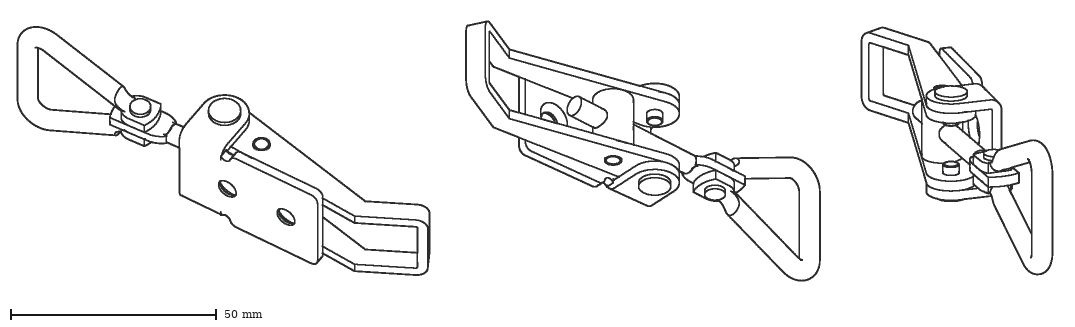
import cadquery as cq
import math


knuckle_radius = 6.0
bend_outer_radius = 3.0
bend_inner_radius = 0.5
hole_overlength = 2.3

bracket_thickness = 2.4
bracket_width = 25.0
bracket_length = 40.0
base_bottom = -11.0
base_corner_radius = 2.0
relief_radius = 1.4
relief_depth = 1.2
relief_offset = 1.3
base_hole_radius = 2.5
base_hole_land = 0.7
base_hole_positions = (7.9, 24.8)

lever_thickness = 2.5
lever_width = bracket_width - 2 * bracket_thickness
kink_bottom = (43.5, -9.2)
grip_angle = 28.0
grip_height = 5.1
grip_bottom_length = 17.9
grip_top_length = 15.7

rivet_shank_radius = 2.0
rivet_head_radius = 3.9
rivet_head_height = 1.0
rivet_inner_end = 5.2
rivet_end_chamfer = 0.2

trunnion_x = 11.8
trunnion_y = -1.7
trunnion_radius = 5.0
trunnion_pin_radius = 2.1
trunnion_pin_chamfer = 0.3

draw_tilt = 3.0
eye_distance = 34.0
rod_radius = 2.5
rod_tail = 12.9
eye_thickness = 2.5
eye_half_width = 4.0
eye_front = -6.2
eye_front_tip = -7.0
eye_shoulder = 4.5
eye_neck_end = 8.7
flat_end = 8.9
flat_fillet_radius = 1.0

wire_radius = 2.5
loop_bar_length = 19.9
loop_bend_radius = 4.5
loop_bar_x = -31.5
loop_leg_angle = 24.5
lug_thickness = 2.5
lug_heel = -3.7
lug_round_center = -0.9
lug_side_end = 3.5
lug_tip = 4.5
recess_start = -5.9
recess_radius = 3.0

eye_pin_radius = 2.5
eye_pin_head_height = 1.0

lever_inner_width = lever_width - 2 * lever_thickness
lug_outer_face = eye_thickness / 2 + lug_thickness


def z_cylinder(radius, z_start, z_end, x=0.0, y=0.0):
    """Cylinder along Z between two heights."""
    return cq.Workplane("XY", origin=(x, y, z_start)).circle(radius).extrude(z_end - z_start)


def z_slab(outline, z_start, z_end):
    """Closed XY outline extruded between two heights."""
    return outline.extrude(z_end - z_start).translate((0, 0, z_start))


def place_draw_assembly(body):
    """Move a body from eye-pin coordinates to its tilted place on the trunnion."""
    at_trunnion = body.translate((trunnion_x - eye_distance, trunnion_y, 0))
    axis_start = (trunnion_x, trunnion_y, 0)
    axis_end = (trunnion_x, trunnion_y, 1)
    return at_trunnion.rotate(axis_start, axis_end, draw_tilt)


def make_base_plate():
    """Flat plate with rounded far corners and a relief notch beside each arm."""
    half_width = bracket_width / 2
    relief_x = knuckle_radius + relief_offset
    relief_z = half_width - relief_depth
    shoulder_z = half_width - base_corner_radius
    center_gap = relief_radius + base_corner_radius
    shoulder_x = relief_x + math.sqrt(center_gap**2 - (relief_z - shoulder_z) ** 2)
    blend = relief_radius / center_gap
    blend_point = (
        relief_x + blend * (shoulder_x - relief_x),
        relief_z + blend * (shoulder_z - relief_z),
    )
    notch_start = (knuckle_radius, relief_z - math.sqrt(relief_radius**2 - relief_offset**2))
    far_x = bracket_length - knuckle_radius
    inner_z = half_width - bend_outer_radius
    corner_mid = base_corner_radius * (1 - math.sqrt(0.5))
    blend_angle = math.atan2(blend_point[1] - shoulder_z, blend_point[0] - shoulder_x)
    shoulder_mid_angle = (math.pi / 2 + blend_angle) / 2
    shoulder_mid = (
        shoulder_x + base_corner_radius * math.cos(shoulder_mid_angle),
        shoulder_z + base_corner_radius * math.sin(shoulder_mid_angle),
    )
    half = (
        cq.Workplane("XY")
        .moveTo(-knuckle_radius, 0)
        .lineTo(-knuckle_radius, inner_z)
        .lineTo(knuckle_radius, inner_z)
        .lineTo(*notch_start)
        .threePointArc((relief_x, relief_z - relief_radius), blend_point)
        .threePointArc(shoulder_mid, (shoulder_x, half_width))
        .lineTo(far_x - base_corner_radius, half_width)
        .threePointArc((far_x - corner_mid, half_width - corner_mid), (far_x, shoulder_z))
        .lineTo(far_x, 0)
        .close()
        .extrude(bracket_thickness)
    )
    plate = half.union(half.mirror("XZ"))
    return plate.rotate((0, 0, 0), (1, 0, 0), -90).translate((0, base_bottom, 0))


def make_screw_hole(x):
    """Cutting tool for a base hole, countersunk from the inner face of the base."""
    cone_start = base_bottom + base_hole_land
    cone_depth = bracket_thickness - base_hole_land + hole_overlength
    profile = (
        cq.Workplane("XY")
        .moveTo(0, base_bottom - hole_overlength)
        .lineTo(base_hole_radius, base_bottom - hole_overlength)
        .lineTo(base_hole_radius, cone_start)
        .lineTo(base_hole_radius + cone_depth, cone_start + cone_depth)
        .lineTo(0, cone_start + cone_depth)
        .close()
    )
    return profile.revolve(360, (0, 0, 0), (0, 1, 0)).translate((x, 0, 0))


def make_bracket():
    """U-shaped sheet bracket: base plate with two bent-up arms."""
    height = knuckle_radius - base_bottom
    outer = cq.Workplane("XY").box(2 * knuckle_radius, height, bracket_width)
    outer = outer.translate((0, base_bottom + height / 2, 0))
    outer = outer.edges("|X and <Y").fillet(bend_outer_radius)
    inner = cq.Workplane("XY").box(4 * knuckle_radius, height, lever_width)
    inner = inner.edges("|X and <Y").fillet(bend_inner_radius)
    inner = inner.translate((0, base_bottom + bracket_thickness + height / 2, 0))
    arm_outline = (
        cq.Workplane("XY")
        .moveTo(-knuckle_radius, base_bottom)
        .lineTo(knuckle_radius, base_bottom)
        .lineTo(knuckle_radius, 0)
        .threePointArc((0, knuckle_radius), (-knuckle_radius, 0))
        .close()
    )
    arms = outer.cut(inner).intersect(z_slab(arm_outline, -bracket_width / 2, bracket_width / 2))
    bracket = arms.union(make_base_plate())
    bracket = bracket.cut(z_cylinder(rivet_shank_radius, -bracket_width, bracket_width))
    for hole_x in base_hole_positions:
        bracket = bracket.cut(make_screw_hole(hole_x))
    return bracket


def knuckle_tangent_point(point, side):
    """Point where the line from an outside point touches the knuckle; side is +1 above, -1 below."""
    direction = math.atan2(point[1], point[0])
    spread = math.acos(knuckle_radius / math.hypot(*point))
    angle = direction + side * spread
    return (knuckle_radius * math.cos(angle), knuckle_radius * math.sin(angle))


def make_lever():
    """Strap lever: two tapering arms joined by the bar across the end of the grip."""
    slope = math.radians(grip_angle)
    along = (math.cos(slope), math.sin(slope))
    end_bottom = (
        kink_bottom[0] + grip_bottom_length * along[0],
        kink_bottom[1] + grip_bottom_length * along[1],
    )
    end_top = (end_bottom[0] - grip_height * along[1], end_bottom[1] + grip_height * along[0])
    kink_top = (end_top[0] - grip_top_length * along[0], end_top[1] - grip_top_length * along[1])
    outline = (
        cq.Workplane("XY")
        .moveTo(*knuckle_tangent_point(kink_bottom, -1))
        .lineTo(*kink_bottom)
        .lineTo(*end_bottom)
        .lineTo(*end_top)
        .lineTo(*kink_top)
        .lineTo(*knuckle_tangent_point(kink_top, 1))
        .threePointArc((-knuckle_radius, 0), knuckle_tangent_point(kink_bottom, -1))
        .close()
    )
    blank = z_slab(outline, -lever_width / 2, lever_width / 2)

    reach = 4 * bracket_length
    outer = cq.Workplane("XY").box(reach, reach, lever_width).translate((-reach / 2, 0, 0))
    outer = outer.edges("|Y and >X").fillet(bend_outer_radius)
    inner = cq.Workplane("XY").box(reach, reach, lever_inner_width)
    inner = inner.translate((-reach / 2 - lever_thickness, 0, 0))
    inner = inner.edges("|Y and >X").fillet(bend_inner_radius)
    outer, inner = (
        envelope.rotate((0, 0, 0), (0, 0, 1), grip_angle).translate((*end_bottom, 0))
        for envelope in (outer, inner)
    )
    lever = blank.intersect(outer).cut(inner)
    lever = lever.cut(z_cylinder(rivet_shank_radius, -lever_width, lever_width))
    return lever.cut(z_cylinder(trunnion_pin_radius, -lever_width, lever_width, trunnion_x, trunnion_y))


def make_rivet(side):
    """Headed rivet through one bracket arm and one lever arm; side is +1 or -1 along Z."""
    outer_face = side * bracket_width / 2
    shank = z_cylinder(rivet_shank_radius, side * rivet_inner_end, outer_face)
    shank = shank.faces(">Z" if side < 0 else "<Z").chamfer(rivet_end_chamfer)
    head = z_cylinder(rivet_head_radius, outer_face, outer_face + side * rivet_head_height)
    return shank.union(head)


def make_trunnion():
    """Cross bar with a pin at each end and a cross hole for the draw rod."""
    body = z_cylinder(trunnion_radius, -lever_inner_width / 2, lever_inner_width / 2)
    pins = z_cylinder(trunnion_pin_radius, -lever_width / 2, lever_width / 2)
    pins = pins.faces("<Z or >Z").chamfer(trunnion_pin_chamfer)
    trunnion = body.union(pins).translate((eye_distance, 0, 0))
    rod_hole = cq.Workplane("YZ").circle(rod_radius).extrude(2 * eye_distance)
    return place_draw_assembly(trunnion.cut(rod_hole))


def make_draw_rod():
    """Round rod whose end is flattened into an eye."""
    neck_drop = eye_half_width - rod_radius
    neck_length = eye_neck_end - eye_shoulder
    neck_radius = (neck_length**2 + neck_drop**2) / (2 * neck_drop)
    eye_outline = (
        cq.Workplane("XY")
        .moveTo(eye_front, eye_half_width)
        .lineTo(eye_shoulder, eye_half_width)
        .radiusArc((eye_neck_end, rod_radius), neck_radius)
        .lineTo(eye_neck_end, -rod_radius)
        .radiusArc((eye_shoulder, -eye_half_width), neck_radius)
        .lineTo(eye_front, -eye_half_width)
        .threePointArc((eye_front_tip, 0), (eye_front, eye_half_width))
        .close()
    )
    eye = z_slab(eye_outline, -eye_thickness / 2, eye_thickness / 2)

    rod_start = flat_end - flat_fillet_radius
    rod = cq.Workplane("YZ", origin=(rod_start, 0, 0)).circle(rod_radius)
    rod = rod.extrude(eye_distance + rod_tail - rod_start)
    for side in (-1, 1):
        groove_z = side * (eye_thickness / 2 + flat_fillet_radius)
        groove = cq.Workplane("XZ", origin=(rod_start, eye_half_width, groove_z))
        rod = rod.cut(groove.circle(flat_fillet_radius).extrude(2 * eye_half_width))
    rod = rod.union(eye).cut(z_cylinder(eye_pin_radius, -eye_thickness, eye_thickness))
    return place_draw_assembly(rod)


def make_loop():
    """Triangular wire loop whose two ends are flattened into lugs beside the eye."""
    half_bar = loop_bar_length / 2
    bend_x = loop_bar_x + loop_bend_radius
    slope = math.radians(loop_leg_angle)
    turn = math.pi / 2 + slope
    leg_start = (
        bend_x + loop_bend_radius * math.sin(slope),
        half_bar + loop_bend_radius * math.cos(slope),
    )
    bend_mid = (
        bend_x - loop_bend_radius * math.cos(turn / 2),
        half_bar + loop_bend_radius * math.sin(turn / 2),
    )
    leg_end_z = leg_start[1] + leg_start[0] * math.tan(slope)
    path = (
        cq.Workplane("XZ")
        .moveTo(0, leg_end_z)
        .lineTo(*leg_start)
        .threePointArc(bend_mid, (loop_bar_x, half_bar))
        .lineTo(loop_bar_x, -half_bar)
        .threePointArc((bend_mid[0], -bend_mid[1]), (leg_start[0], -leg_start[1]))
        .lineTo(0, -leg_end_z)
    )
    profile_plane = cq.Plane(
        origin=(0, 0, leg_end_z), xDir=(0, 1, 0), normal=(-math.cos(slope), 0, math.sin(slope))
    )
    loop = cq.Workplane(profile_plane).circle(wire_radius).sweep(path)

    recess_size = 4 * eye_half_width
    for side in (-1, 1):
        recess = cq.Workplane("XY").box(recess_size, recess_size, recess_size)
        recess = recess.edges("|Y and <X").fillet(recess_radius)
        center_z = side * (lug_outer_face + recess_size / 2)
        loop = loop.cut(recess.translate((recess_start + recess_size / 2, 0, center_z)))
    slot = cq.Workplane("XY").box(recess_size, recess_size, eye_thickness)
    loop = loop.cut(slot)

    heel_half_width = math.sqrt(eye_half_width**2 - (lug_round_center - lug_heel) ** 2)
    lug_outline = (
        cq.Workplane("XY")
        .moveTo(lug_round_center, -eye_half_width)
        .lineTo(lug_side_end, -eye_half_width)
        .threePointArc((lug_tip, 0), (lug_side_end, eye_half_width))
        .lineTo(lug_round_center, eye_half_width)
        .radiusArc((lug_heel, heel_half_width), -eye_half_width)
        .lineTo(lug_heel, -heel_half_width)
        .radiusArc((lug_round_center, -eye_half_width), -eye_half_width)
        .close()
    )
    lug = z_slab(lug_outline, eye_thickness / 2, lug_outer_face)
    loop = loop.union(lug).union(lug.mirror("XY"))
    loop = loop.cut(z_cylinder(eye_pin_radius, -2 * lug_outer_face, 2 * lug_outer_face))
    return place_draw_assembly(loop)


def make_eye_pin():
    """Plain pin joining the loop to the eye, standing proud of both lugs."""
    half_length = lug_outer_face + eye_pin_head_height
    return place_draw_assembly(z_cylinder(eye_pin_radius, -half_length, half_length))


bracket = make_bracket()
lever = make_lever()
rivets = [make_rivet(side) for side in (-1, 1)]
trunnion = make_trunnion()
draw_rod = make_draw_rod()
loop = make_loop()
eye_pin = make_eye_pin()

result = cq.Compound.makeCompound(
    [
        bracket.val(),
        lever.val(),
        *[rivet.val() for rivet in rivets],
        trunnion.val(),
        draw_rod.val(),
        loop.val(),
        eye_pin.val(),
    ]
)